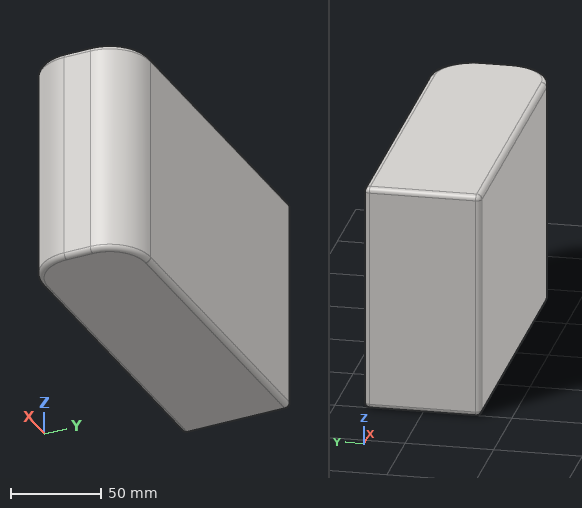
import cadquery as cq

length = 205.0
width = 66.01
height = 131.0

nose_radius = 25.0
edge_radius = 3.0


def rounded_block():
    """Block with two large vertical corners at +X and softened edges elsewhere."""
    block = cq.Workplane("XY").box(length, width, height)
    block = block.edges("|Z and >X").fillet(nose_radius)
    block = block.edges("|Z and <X").fillet(edge_radius)
    return block.faces("<Z or >Z").edges().fillet(edge_radius)


result = rounded_block()